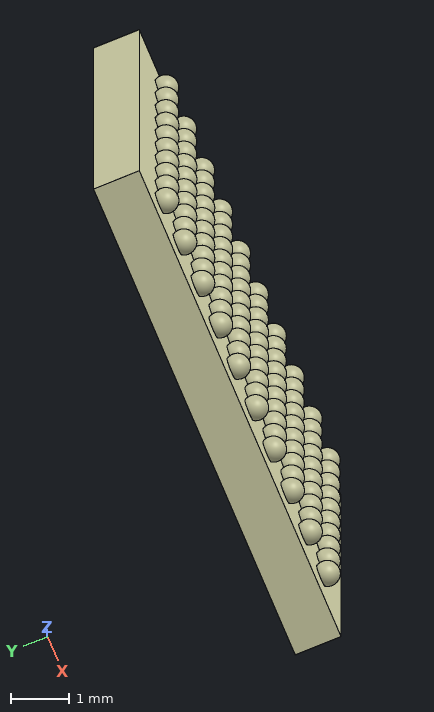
import cadquery as cq

body_side = 9.0
total_depth = 1.2
body_thickness = 0.855

balls_per_side = 10
edge_margin = 0.9
ball_diameter = 0.45

ball_radius = ball_diameter / 2
ball_pitch = (body_side - 2 * edge_margin) / (balls_per_side - 1)
ball_height = total_depth - body_thickness
ball_center_y = ball_radius - ball_height


def make_body():
    return cq.Workplane("XY").box(
        body_side, body_thickness, body_side, centered=(True, False, True)
    )


def make_balls():
    ball = cq.Workplane("XY").sphere(ball_radius).val()
    return (
        cq.Workplane("XZ", origin=(0, ball_center_y, 0))
        .rarray(ball_pitch, ball_pitch, balls_per_side, balls_per_side)
        .eachpoint(lambda location: ball.moved(location), useLocalCoordinates=True)
    )


result = make_body().union(make_balls())